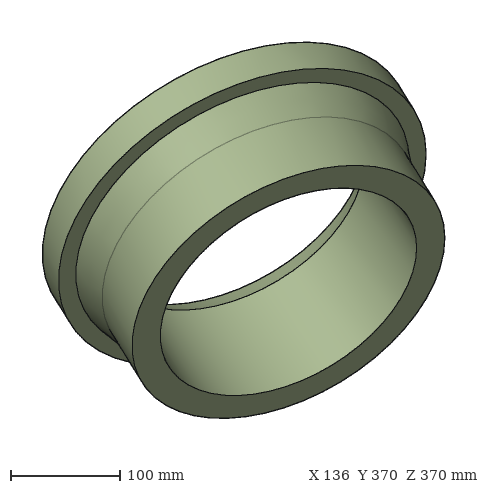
import cadquery as cq

total_length = 136.0
flange_diameter = 370.0
flange_thickness = 35.5
hub_base_diameter = 335.2
hub_length = 35.5
neck_diameter = 315.0
bore_diameter = 258.0
bore_mouth_diameter = 282.5
bore_taper_length = 21.0

hub_end = flange_thickness + hub_length

half_section = [
    (0, bore_mouth_diameter / 2),
    (0, flange_diameter / 2),
    (flange_thickness, flange_diameter / 2),
    (flange_thickness, hub_base_diameter / 2),
    (hub_end, neck_diameter / 2),
    (total_length, neck_diameter / 2),
    (total_length, bore_diameter / 2),
    (bore_taper_length, bore_diameter / 2),
]

result = (
    cq.Workplane("XY")
    .polyline(half_section)
    .close()
    .revolve(360, (0, 0, 0), (1, 0, 0))
)